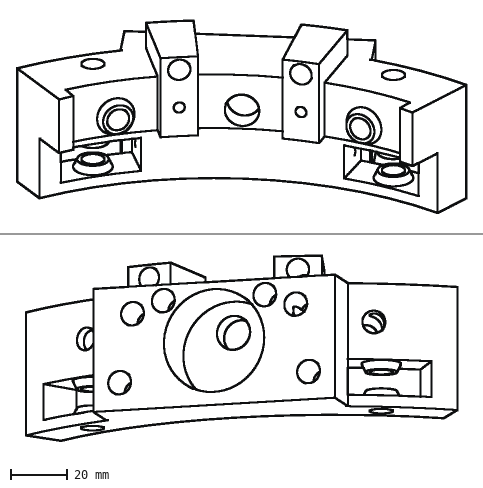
import cadquery as cq
import math

SYMMETRY_DIRECTION = 150.0

OUTER_RADIUS = 140.3
INNER_RADIUS = OUTER_RADIUS - 24.0
LOWER_INNER_RADIUS = OUTER_RADIUS - 16.0
TIP_RADIUS = OUTER_RADIUS - 30.0
BODY_HEIGHT = 44.8
LEDGE_HEIGHT = 23.6
END_ANGLE = 35.0
LUG_ANGLE = 32.0

PLATE_WIDTH = 90.0
PLATE_DEPTH = 16.0
PLATE_FACE = 149.1
BORE_DIAMETER = 37.4
BORE_DEPTH = 24.0
BORE_HEIGHT = 23.4
CENTRE_HOLE_DIAMETER = 12.3
RADIAL_HOLE_HEIGHT = 30.8
SCREW_HOLE_DIAMETER = 8.5
SCREW_HOLE_DEPTH = 20.0
SCREW_HOLES = [(18.9, 39.0), (30.4, 34.9), (35.2, 10.1)]

BLOCK_TOP = 54.8
BLOCK_ANGLE = 11.4
BLOCK_HALF_SPAN = 3.5
BLOCK_UPPER_HOLE_DIAMETER = 8.0
BLOCK_UPPER_HOLE_HEIGHT = (BODY_HEIGHT + BLOCK_TOP) / 2
BLOCK_LOWER_HOLE_DIAMETER = 4.0
BLOCK_LOWER_HOLE_HEIGHT = 34.9

SLOT_START_ANGLE = 17.0
SLOT_END_ANGLE = 31.0
SLOT_BOTTOM = 4.2
SLOT_TOP = 17.2
PIVOT_RADIUS = (LOWER_INNER_RADIUS + OUTER_RADIUS) / 2
PIVOT_ANGLE = (SLOT_START_ANGLE + SLOT_END_ANGLE) / 2
PIVOT_HOLE_DIAMETER = 8.3
ARM_HOLE_ANGLE = 22.5
ARM_HOLE_DIAMETER = 8.2
BOSS_BASE_DIAMETER = 14.2
BOSS_TIP_DIAMETER = 11.3
BOSS_HEIGHT = 3.0
BOSS_ROOT = 1.0

CLEARANCE = 1.0
SIDES = (-1, 1)


def polar(radius, angle):
    return (radius * math.cos(math.radians(angle)), radius * math.sin(math.radians(angle)))


def ring_sector(inner, outer, start, end, bottom, top):
    """Ring segment between two radii, two angles and two heights."""
    middle = (start + end) / 2
    return (
        cq.Workplane("XY", origin=(0, 0, bottom))
        .moveTo(*polar(inner, start))
        .lineTo(*polar(outer, start))
        .threePointArc(polar(outer, middle), polar(outer, end))
        .lineTo(*polar(inner, end))
        .threePointArc(polar(inner, middle), polar(inner, start))
        .close()
        .extrude(top - bottom)
    )


def outward_rod(diameter, start, end, height, offset=0.0):
    """Rod along +X between two X positions, shifted sideways by offset."""
    return (
        cq.Workplane("YZ", origin=(start, offset, height))
        .circle(diameter / 2)
        .extrude(end - start)
    )


def radial_rod(diameter, start, end, height, angle):
    """Rod along a radius of the arc."""
    return outward_rod(diameter, start, end, height).rotate((0, 0, 0), (0, 0, 1), angle)


def boss(base_point, direction):
    """Tapered boss that rises from base_point along direction, with a root inside the wall."""
    axis = cq.Vector(*direction)
    base = cq.Vector(*base_point)
    root = cq.Solid.makeCylinder(BOSS_BASE_DIAMETER / 2, BOSS_ROOT, base - axis * BOSS_ROOT, axis)
    cone = cq.Solid.makeCone(BOSS_BASE_DIAMETER / 2, BOSS_TIP_DIAMETER / 2, BOSS_HEIGHT, base, axis)
    return cq.Workplane(root.fuse(cone))


def body():
    """Curved body with the flat plate, end lugs and clamp blocks."""
    upper = ring_sector(INNER_RADIUS, OUTER_RADIUS, -END_ANGLE, END_ANGLE, LEDGE_HEIGHT, BODY_HEIGHT)
    lower = ring_sector(LOWER_INNER_RADIUS, OUTER_RADIUS, -END_ANGLE, END_ANGLE, 0, LEDGE_HEIGHT)
    plate = cq.Workplane("XY").box(PLATE_DEPTH, PLATE_WIDTH, BODY_HEIGHT, centered=(False, True, False))
    solid = upper.union(lower).union(plate.translate((PLATE_FACE - PLATE_DEPTH, 0, 0)))
    for side in SIDES:
        solid = solid.union(
            ring_sector(
                TIP_RADIUS, OUTER_RADIUS, side * LUG_ANGLE, side * END_ANGLE, LEDGE_HEIGHT, BODY_HEIGHT
            )
        )
        block_centre = side * BLOCK_ANGLE
        solid = solid.union(
            ring_sector(
                TIP_RADIUS,
                OUTER_RADIUS,
                block_centre - BLOCK_HALF_SPAN,
                block_centre + BLOCK_HALF_SPAN,
                LEDGE_HEIGHT,
                BLOCK_TOP,
            )
        )
    return solid


def cut_plate_holes(solid):
    """Blind bore with a smaller hole through its floor, and the blind screw holes."""
    bore_floor = PLATE_FACE - BORE_DEPTH
    solid = solid.cut(outward_rod(BORE_DIAMETER, bore_floor, PLATE_FACE, BORE_HEIGHT))
    solid = solid.cut(outward_rod(CENTRE_HOLE_DIAMETER, TIP_RADIUS, PLATE_FACE, RADIAL_HOLE_HEIGHT))
    screw_floor = PLATE_FACE - SCREW_HOLE_DEPTH
    for side in SIDES:
        for offset, height in SCREW_HOLES:
            solid = solid.cut(
                outward_rod(SCREW_HOLE_DIAMETER, screw_floor, PLATE_FACE, height, side * offset)
            )
    return solid


def cut_block_holes(solid, side):
    """Upper hole through the clamp block, lower hole from its tip into a screw hole."""
    angle = side * BLOCK_ANGLE
    inner = TIP_RADIUS - CLEARANCE
    upper = radial_rod(
        BLOCK_UPPER_HOLE_DIAMETER, inner, OUTER_RADIUS + CLEARANCE, BLOCK_UPPER_HOLE_HEIGHT, angle
    )
    lower = radial_rod(
        BLOCK_LOWER_HOLE_DIAMETER, inner, OUTER_RADIUS, BLOCK_LOWER_HOLE_HEIGHT, angle
    )
    return solid.cut(upper).cut(lower)


def finish_arm(solid, side):
    """Slot, pivot hole and radial hole of one arm, with their bosses."""
    slot_angles = (side * SLOT_START_ANGLE, side * SLOT_END_ANGLE)
    solid = solid.cut(ring_sector(INNER_RADIUS, OUTER_RADIUS, *slot_angles, SLOT_BOTTOM, SLOT_TOP))

    pivot = polar(PIVOT_RADIUS, side * PIVOT_ANGLE)
    solid = solid.union(boss((*pivot, SLOT_BOTTOM), (0, 0, 1)))
    solid = solid.union(boss((*pivot, SLOT_TOP), (0, 0, -1)))
    pivot_hole = cq.Workplane("XY").center(*pivot).circle(PIVOT_HOLE_DIAMETER / 2).extrude(BODY_HEIGHT)
    solid = solid.cut(pivot_hole)

    arm_angle = side * ARM_HOLE_ANGLE
    inward = polar(-1, arm_angle)
    solid = solid.union(boss((*polar(INNER_RADIUS, arm_angle), RADIAL_HOLE_HEIGHT), (*inward, 0)))
    arm_hole = radial_rod(ARM_HOLE_DIAMETER, TIP_RADIUS, PLATE_FACE, RADIAL_HOLE_HEIGHT, arm_angle)
    return solid.cut(arm_hole)


bracket = cut_plate_holes(body())
for arm_side in SIDES:
    bracket = cut_block_holes(bracket, arm_side)
    bracket = finish_arm(bracket, arm_side)

result = bracket.rotate((0, 0, 0), (0, 0, 1), SYMMETRY_DIRECTION)